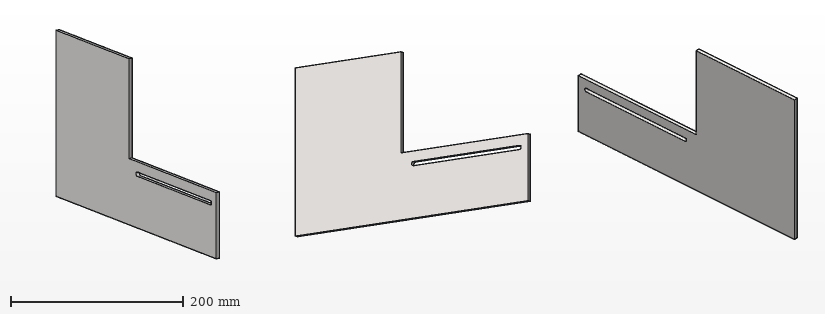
import cadquery as cq

length = 330.0
height = 200.0
thickness = 5.0

block_length = 150.0
arm_height = 80.0

slot_length = 155.0
slot_width = 5.0
slot_end_gap = 10.0
slot_top_gap = 12.5

slot_center_x = length - slot_end_gap - slot_length / 2
slot_center_z = arm_height - slot_top_gap - slot_width / 2


def make_plate():
    """L-shaped plate with its front face at Y = 0, extending toward +Y."""
    outline = [
        (0, 0),
        (length, 0),
        (length, arm_height),
        (block_length, arm_height),
        (block_length, height),
        (0, height),
    ]
    return cq.Workplane("XZ").polyline(outline).close().extrude(-thickness)


def make_slot():
    """Cutter for the slot through the full thickness of the arm."""
    return (
        cq.Workplane("XZ")
        .center(slot_center_x, slot_center_z)
        .slot2D(slot_length, slot_width)
        .extrude(-thickness)
    )


result = make_plate().cut(make_slot())